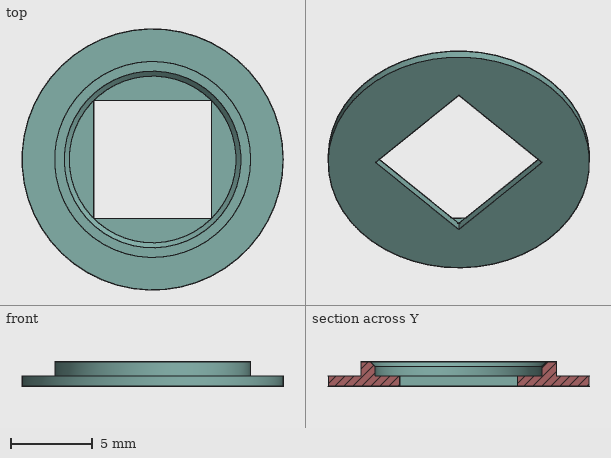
import cadquery as cq

flange_diameter = 16.0
total_height = 1.5
flange_thickness = 0.64

rim_diameter = 12.0
recess_diameter = 10.2
recess_chamfer = 0.3
floor_thickness = flange_thickness

opening_side = 7.2

rim_height = total_height - flange_thickness
recess_depth = total_height - floor_thickness

flange = cq.Workplane("XY").circle(flange_diameter / 2).extrude(flange_thickness)
body = flange.faces(">Z").workplane().circle(rim_diameter / 2).extrude(rim_height)

recessed = body.faces(">Z").workplane().hole(recess_diameter, recess_depth)
mouth_edge = cq.selectors.RadiusNthSelector(0)
recessed = recessed.faces(">Z").edges(mouth_edge).chamfer(recess_chamfer)

opening = cq.Workplane("XY").rect(opening_side, opening_side).extrude(total_height)

result = recessed.cut(opening)